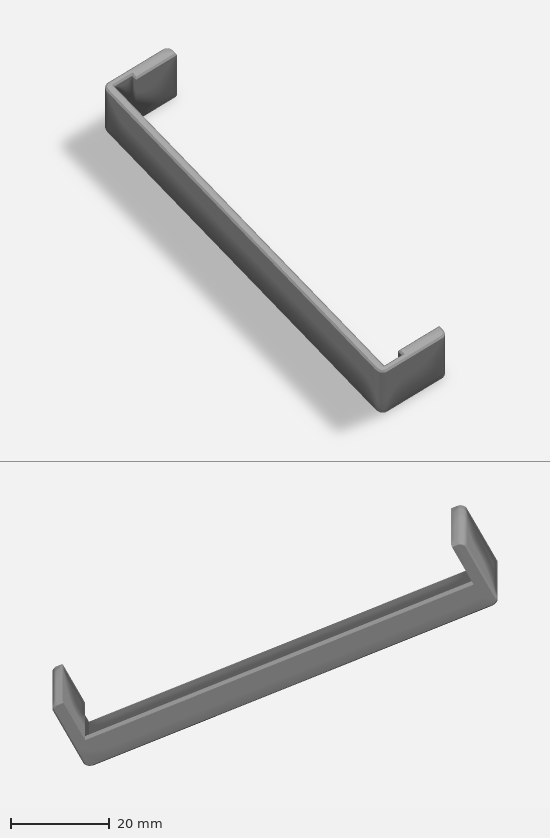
import cadquery as cq
import math

LENGTH = 93.0
DEPTH = 17.0
HEIGHT = 14.0

FRONT_WALL = 2.0
ARM_WALL = 1.55
FLOOR = 1.5
PAD_THICKNESS = 2.85
PAD_START = 6.5

REAR_RADIUS = 1.5
FRONT_SIDE_RADIUS = 1.5
FRONT_FACE_RADIUS = 3.0
ARC_JOINT_X = 1.0

BEVEL = 0.4


def front_corner_points():
    """Front corner as (inset from the side, distance behind the front face), side to front."""
    joint = math.asin(1 - ARC_JOINT_X / FRONT_SIDE_RADIUS)
    joint_y = FRONT_FACE_RADIUS * (1 - math.cos(joint))
    side_centre_y = joint_y + FRONT_SIDE_RADIUS * math.cos(joint)
    face_centre_x = ARC_JOINT_X + FRONT_FACE_RADIUS * math.sin(joint)

    side_mid = (joint + math.pi / 2) / 2
    face_mid = joint / 2
    return [
        (0, side_centre_y),
        (
            FRONT_SIDE_RADIUS * (1 - math.sin(side_mid)),
            side_centre_y - FRONT_SIDE_RADIUS * math.cos(side_mid),
        ),
        (ARC_JOINT_X, joint_y),
        (
            face_centre_x - FRONT_FACE_RADIUS * math.sin(face_mid),
            FRONT_FACE_RADIUS * (1 - math.cos(face_mid)),
        ),
        (face_centre_x, 0),
    ]


def outer_block():
    """Full envelope with rounded vertical corners and bevelled rims."""
    half = LENGTH / 2
    corner = front_corner_points()
    left = [(inset - half, y) for inset, y in corner]
    right = [(half - inset, y) for inset, y in reversed(corner)]
    block = (
        cq.Workplane("XY")
        .moveTo(*left[0])
        .threePointArc(left[1], left[2])
        .threePointArc(left[3], left[4])
        .lineTo(*right[0])
        .threePointArc(right[1], right[2])
        .threePointArc(right[3], right[4])
        .lineTo(half, DEPTH)
        .lineTo(-half, DEPTH)
        .close()
        .extrude(HEIGHT)
    )
    rounded = block.edges("|Z and >Y").fillet(REAR_RADIUS)
    return rounded.faces("<Z or >Z").chamfer(BEVEL)


def opening(width, y_front, y_rear, z_floor):
    """Cutter from z_floor upwards whose mouth flares out to bevel the top edges."""
    middle = (y_front + y_rear) / 2
    span = y_rear - y_front
    shaft = (
        cq.Workplane("XY", origin=(0, middle, z_floor))
        .rect(width, span)
        .extrude(HEIGHT - z_floor)
    )
    flare = (
        cq.Workplane("XY", origin=(0, middle, HEIGHT - BEVEL))
        .rect(width, span)
        .workplane(offset=BEVEL)
        .rect(width + 2 * BEVEL, span + 2 * BEVEL)
        .loft(ruled=True)
    )
    return shaft.union(flare)


front_pocket = opening(LENGTH - 2 * ARM_WALL, FRONT_WALL, PAD_START, FLOOR)

rear_gap = opening(LENGTH - 2 * PAD_THICKNESS, PAD_START, 2 * DEPTH, 0)

result = outer_block().cut(front_pocket).cut(rear_gap)